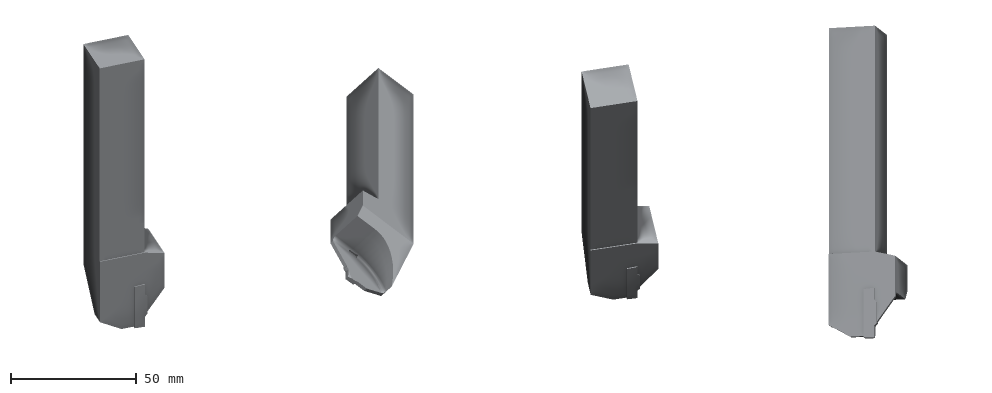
import cadquery as cq
import math

LENGTH = 127.0
SHANK_WIDTH = 18.8
SHANK_DEPTH = 19.0
HEAD_WIDTH = 19.2
HEAD_DEPTH = 27.4
HEAD_TOP = 35.0
SHOULDER_EDGE = 32.9
NOSE_BOTTOM = 0.9
NOSE_FRONT_Y = 9.1
NOSE_BACK_Y = 15.7
FRONT_CORNER_Z = 6.2
BACK_CORNER_Z = 16.5

RAMP_TOP = 22.4
RAMP_END_X = 12.6
RAMP_END_Z = 6.7

WEB_X = 17.7
WALL_Z = 18.4
WALL_RADIUS = 19.0
WALL_TANGENT_Y = 17.8
WALL_FILLET = 1.5
CLEARANCE_TOP = 18.0
CUT_MARGIN = 6.4

INSERT_THICKNESS = 1.9
INSERT_LENGTH = 20.2
INSERT_FRONT_Y = 14.6
TIP_Y = 18.9
INSERT_BACK_Y = 20.0
WAIST_HALF_LENGTH = 4.2
WAIST_SLOPE = 1.1
TIP_RELIEF = 0.3
BEVEL_DEPTH = 0.4
BEVEL_Y = 1.9
BEVEL_Z = 3.3


def extrude_along_x(points, start_x, end_x):
    """Prism along X from a closed list of (Y, Z) points."""
    return cq.Workplane("YZ", origin=(start_x, 0, 0)).polyline(points).close().extrude(end_x - start_x)


def make_blank():
    shank = cq.Workplane("XY", origin=(0, 0, HEAD_TOP)).box(
        SHANK_WIDTH, SHANK_DEPTH, LENGTH - HEAD_TOP, centered=False
    )
    head = extrude_along_x(
        [
            (0, FRONT_CORNER_Z),
            (NOSE_FRONT_Y, NOSE_BOTTOM),
            (NOSE_BACK_Y, NOSE_BOTTOM),
            (HEAD_DEPTH, BACK_CORNER_Z),
            (HEAD_DEPTH, SHOULDER_EDGE),
            (SHANK_DEPTH, HEAD_TOP),
            (0, HEAD_TOP),
        ],
        0,
        HEAD_WIDTH,
    )
    return shank.union(head)


def make_ramp_cutter():
    slope = (RAMP_TOP - RAMP_END_Z) / RAMP_END_X
    low_x = (RAMP_TOP + CUT_MARGIN) / slope
    return (
        cq.Workplane("XZ", origin=(0, -CUT_MARGIN, 0))
        .polyline([(0, RAMP_TOP), (low_x, -CUT_MARGIN), (-CUT_MARGIN, -CUT_MARGIN), (-CUT_MARGIN, RAMP_TOP)])
        .close()
        .extrude(-(HEAD_DEPTH + 2 * CUT_MARGIN))
    )


def make_pocket_cutter():
    center_z = WALL_Z - WALL_RADIUS
    mid_angle = math.radians(135)
    arc_middle = (
        WALL_TANGENT_Y + WALL_RADIUS * math.cos(mid_angle),
        center_z + WALL_RADIUS * math.sin(mid_angle),
    )
    far_y = HEAD_DEPTH + CUT_MARGIN
    return (
        cq.Workplane("YZ", origin=(-CUT_MARGIN, 0, 0))
        .moveTo(far_y, WALL_Z)
        .lineTo(WALL_TANGENT_Y, WALL_Z)
        .threePointArc(arc_middle, (WALL_TANGENT_Y - WALL_RADIUS, center_z))
        .lineTo(WALL_TANGENT_Y - WALL_RADIUS, -CUT_MARGIN)
        .lineTo(far_y, -CUT_MARGIN)
        .close()
        .extrude(WEB_X + CUT_MARGIN)
        .faces(">X")
        .edges()
        .fillet(WALL_FILLET)
    )


def make_insert_blank():
    middle_z = INSERT_LENGTH / 2
    waist_low = middle_z - WAIST_HALF_LENGTH
    waist_high = middle_z + WAIST_HALF_LENGTH
    return extrude_along_x(
        [
            (INSERT_FRONT_Y, TIP_RELIEF),
            (TIP_Y, 0),
            (TIP_Y, waist_low - WAIST_SLOPE),
            (INSERT_BACK_Y, waist_low),
            (INSERT_BACK_Y, waist_high),
            (TIP_Y, waist_high + WAIST_SLOPE),
            (TIP_Y, INSERT_LENGTH),
            (INSERT_FRONT_Y, INSERT_LENGTH - TIP_RELIEF),
        ],
        WEB_X,
        WEB_X + INSERT_THICKNESS,
    )


def make_tip_bevel(corner_z, inward):
    """Pyramid that bevels the insert corner at corner_z; inward is the Z sign toward its middle."""
    corner = cq.Vector(WEB_X, TIP_Y, corner_z)
    along_x = corner + cq.Vector(BEVEL_DEPTH, 0, 0)
    along_y = corner - cq.Vector(0, BEVEL_Y, 0)
    along_z = corner + cq.Vector(0, 0, inward * BEVEL_Z)
    triangles = [
        (corner, along_y, along_z),
        (corner, along_x, along_y),
        (corner, along_z, along_x),
        (along_x, along_y, along_z),
    ]
    faces = [cq.Face.makeFromWires(cq.Wire.makePolygon(list(t), close=True)) for t in triangles]
    return cq.Workplane(obj=cq.Solid.makeSolid(cq.Shell.makeShell(faces)))


def make_insert():
    insert = make_insert_blank()
    for corner_z, inward in ((0, 1), (INSERT_LENGTH, -1)):
        insert = insert.cut(make_tip_bevel(corner_z, inward))
    return insert


def make_fillet_clearance():
    """Opens the filleted wall corner in front of the insert."""
    return cq.Workplane("XY", origin=(0, INSERT_FRONT_Y, 0)).box(
        WEB_X, TIP_Y - INSERT_FRONT_Y, CLEARANCE_TOP, centered=False
    )


def make_holder():
    return (
        make_blank()
        .cut(make_ramp_cutter())
        .cut(make_pocket_cutter())
        .cut(make_fillet_clearance())
        .cut(make_insert_blank())
    )


holder = make_holder()
insert = make_insert()

result = cq.Compound.makeCompound([holder.val(), insert.val()])